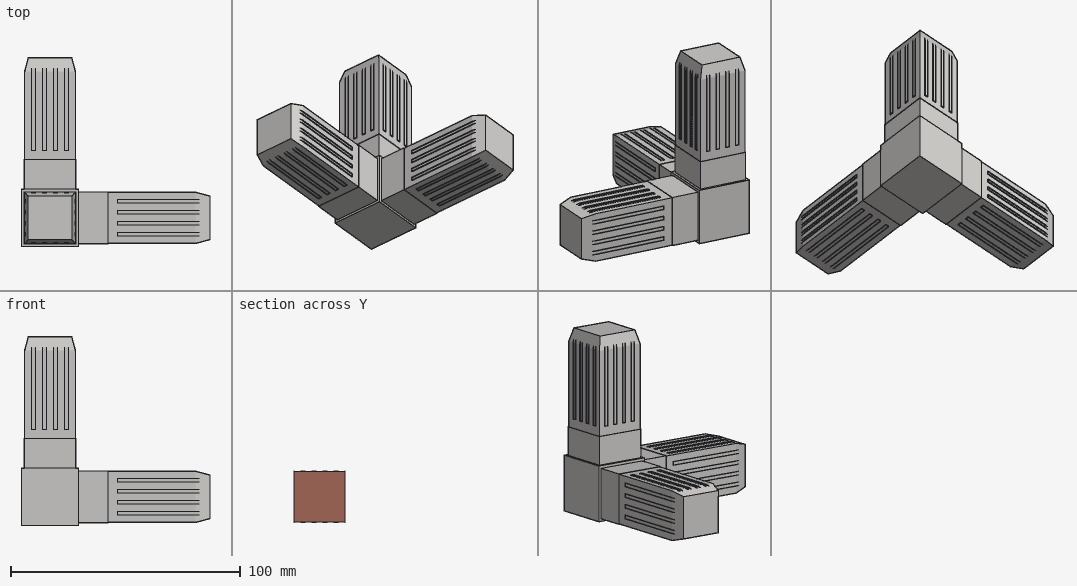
import cadquery as cq
import math

overall_length = 82.22
cube_size = 25.0

collar_width = 22.6
collar_length = 12.8
shank_width = 22.3
tip_length = 6.2
tip_taper_angle = 15.0
shank_length = overall_length - cube_size - collar_length - tip_length

arm_sides = 4
grooves_per_side = 4
groove_width = 1.6
groove_pitch = 4.8
groove_depth = 0.38
groove_start_offset = 4.1

cube_center = cube_size / 2
shank_start = cube_center + collar_length
tip_start = shank_start + shank_length
arm_end = tip_start + tip_length


def square_bar(width, start, length):
    """Square bar along +Z, centred on the Z axis."""
    return cq.Workplane("XY").workplane(offset=start).rect(width, width).extrude(length)


def tapered_tip():
    """Square frustum that narrows towards the end of the arm."""
    end_width = shank_width - 2 * tip_length * math.tan(math.radians(tip_taper_angle))
    return (
        cq.Workplane("XY")
        .workplane(offset=tip_start)
        .rect(shank_width, shank_width)
        .workplane(offset=tip_length)
        .rect(end_width, end_width)
        .loft(ruled=True)
    )


def side_grooves():
    """Grooves for the -Y side of an arm that points along +Z."""
    groove_start = shank_start + groove_start_offset
    return (
        cq.Workplane("XY")
        .workplane(offset=groove_start)
        .center(0, -shank_width / 2)
        .rarray(groove_pitch, 1, grooves_per_side, 1)
        .rect(groove_width, 2 * groove_depth)
        .extrude(arm_end - groove_start)
    )


def plug_arm():
    """One complete arm along +Z, measured from the centre of the cube."""
    arm = square_bar(collar_width, cube_center, collar_length)
    arm = arm.union(square_bar(shank_width, shank_start, shank_length))
    arm = arm.union(tapered_tip())
    grooves = side_grooves()
    for quarter_turn in range(arm_sides):
        arm = arm.cut(grooves.rotate((0, 0, 0), (0, 0, 1), quarter_turn * 360 / arm_sides))
    return arm


def corner_connector():
    """Cube centred on the origin, with three identical arms."""
    arm_z = plug_arm()
    arm_x = arm_z.rotate((0, 0, 0), (0, 1, 0), 90)
    arm_y = arm_z.rotate((0, 0, 0), (1, 0, 0), -90)
    cube = cq.Workplane("XY").box(cube_size, cube_size, cube_size)
    return cube.union(arm_x).union(arm_y).union(arm_z)


result = corner_connector().translate((cube_center, cube_center, cube_center))